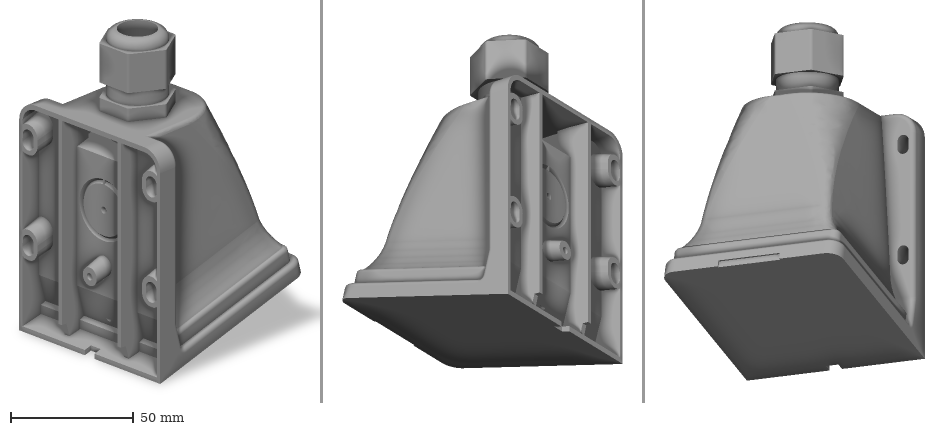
import cadquery as cq
import math

WIDTH = 80.0
DEPTH = 87.0
HEIGHT = 138.0
BODY_TOP = 103.1
TILT = 15.0

PLATE_BACK = 10.4
PLATE_BEND_Z = 23.2
PLATE_CORNER = 9.0
BASE_THICK = 7.2
BASE_CORNER = 6.2
EDGE_ROUND = 2.0
INNER_ROUND = 1.7
BEND_ROUND = 5.5
FRONT_NOTCH_WIDTH = 27.6
FRONT_NOTCH_DEPTH = 0.8
FRONT_NOTCH_HEIGHT = 2.8

HOOD_ROOT_Y = 5.5
COLLAR_HALF = 37.3
COLLAR_FRONT = 86.4
COLLAR_TOP = 14.2
COLLAR_ROUND = 1.8
FLARE_MID_LEVEL = 19.3
FLARE_MID_HALF = 32.0
FLARE_MID_FRONT = 83.5
FLARE_TOP_LEVEL = 28.4
FLARE_TOP_HALF = 29.3
FLARE_TOP_FRONT = 81.7
HOOD_CORNER = 3.2
MID_Z = 73.1
MID_HALF = 27.0
MID_FRONT = 64.9
MID_CORNER = 8.5
TOP_HALF = 25.1
TOP_FLAT_HALF = 3.7
TOP_SIDE_END = 31.0
TOP_FRONT = 55.9

GLAND_Y = 28.3
HEX_FLATS = 28.4
HEX_ROUND = 1.5
LOCKNUT_TOP = 109.0
NECK_TOP = 115.9
CAP_NUT_TOP = 133.3
NECK_DIA = 26.0
GLAND_BORE = 17.0
DOME_ROUND = 4.1

RIM = 2.0
TOP_RIM = 2.2
RECESS_DRAFT = 5.5
SIDE_FLOOR = 8.8
CENTRE_FLOOR = 8.3
FLOOR_BEND_Z = 22.8
RECESS_BOTTOM_Z = 2.3
STEP_DEPTH = 10.0
STEP_TOP_Z = 9.1
STEP_BACK_Z = 10.2

RIB_X = 16.8
RIB_TIP = 2.0
RIB_ROOT = 3.7
RIB_FOOT_Z = 9.5
RIB_FOOT_SETBACK = 2.5

CHAMBER_Z = 87.1
CHAMBER_RADIUS = 20.0
CHAMBER_WALL_Y = 17.5

BOSS_X = 34.9
BOSS_Z = (39.5, 86.5)
BOSS_WIDTH = 10.4
SLOT_WIDTH = 6.3
SLOT_TRAVEL = 2.8
MOULD_DRAFT = 3.0
TILT_LEAD = 1.7
POST_Z = 35.9
POST_DIA = 7.7
POST_HOLE = 3.0
POST_HOLE_DEPTH = 6.9
KNOCKOUT_Z = 63.0
KNOCKOUT_OUTER = 27.5
KNOCKOUT_INNER = 22.9
KNOCKOUT_DEPTH = 1.2
KNOCKOUT_BRIDGE = 0.8
DIMPLE_DIA = 3.0
DIMPLE_DEPTH = 1.2
LOWER_DIMPLE_Z = 13.4
DRAIN_WIDTH = 5.5
DRAIN_DEPTH = 3.6

HALF = WIDTH / 2
SIN = math.sin(math.radians(TILT))
COS = math.cos(math.radians(TILT))
SLOPE = SIN / COS
BASE_LENGTH = DEPTH / COS


def tilted_plane(level):
    """Plane parallel to the underside, a distance above it."""
    return cq.Workplane(cq.Plane(
        origin=(0, -level * SIN, level * COS), xDir=(1, 0, 0), normal=(0, -SIN, COS)))


def tilted_axis(x, z):
    """Workplane at (x, 0, z) whose normal points inward along the underside slope."""
    return cq.Workplane(cq.Plane(origin=(x, 0, z), xDir=(1, 0, 0), normal=(0, COS, SIN)))


def yz_point(along, level):
    """Y and Z of a point given along and above the tilted underside."""
    return (along * COS - level * SIN, along * SIN + level * COS)


def root_at(level):
    """Distance along the slope at which the hood starts inside the plate."""
    return (HOOD_ROOT_Y + level * SIN) / COS


def box(x0, x1, y0, y1, z0, z1):
    return cq.Workplane("XY").box(x1 - x0, y1 - y0, z1 - z0, centered=False).translate((x0, y0, z0))


def prism(points, x0, x1):
    """Closed Y-Z outline extruded from x0 to x1."""
    return cq.Workplane("YZ", origin=(x0, 0, 0)).polyline(points).close().extrude(x1 - x0)


def make_plates():
    inner_along = PLATE_BACK * COS + PLATE_BEND_Z * SIN
    outline = [
        (0, 0),
        yz_point(BASE_LENGTH, 0),
        yz_point(BASE_LENGTH, BASE_THICK),
        yz_point(inner_along, BASE_THICK),
        (PLATE_BACK, PLATE_BEND_Z),
        (PLATE_BACK, BODY_TOP),
        (0, BODY_TOP),
    ]
    plates = prism(outline, -HALF, HALF)
    inner_y, inner_z = yz_point(inner_along, BASE_THICK)
    plates = plates.edges(cq.NearestToPointSelector((0, inner_y, inner_z))).fillet(INNER_ROUND)
    bend = cq.NearestToPointSelector((0, PLATE_BACK, PLATE_BEND_Z))
    plates = plates.edges(bend).fillet(BEND_ROUND)
    plates = plates.edges("|Y").edges(">Z").fillet(PLATE_CORNER)
    front_y, front_z = yz_point(BASE_LENGTH, BASE_THICK / 2)
    for x in (-HALF, HALF):
        plates = plates.edges(cq.NearestToPointSelector((x, front_y, front_z))).fillet(BASE_CORNER)
    seed_y, seed_z = yz_point(BASE_LENGTH, BASE_THICK)
    plates = plates.edges(cq.NearestToPointSelector((0, seed_y, seed_z))).fillet(EDGE_ROUND)
    notch = (
        tilted_plane(0).center(0, BASE_LENGTH)
        .rect(FRONT_NOTCH_WIDTH, 2 * FRONT_NOTCH_DEPTH).extrude(FRONT_NOTCH_HEIGHT)
    )
    return plates.cut(notch)


def hood_section(level, half, front):
    """Hood outline parallel to the underside, with rounded front corners."""
    return hood_outline(tilted_plane(level), half, root_at(level), front, HOOD_CORNER, HOOD_CORNER)


def hood_outline(plane, half, root, front, round_x, round_y):
    return (
        plane.moveTo(-half, root)
        .lineTo(-half, front - round_y)
        .ellipseArc(round_x, round_y, 90, 180, sense=-1)
        .lineTo(half - round_x, front)
        .ellipseArc(round_x, round_y, 0, 90, sense=-1)
        .lineTo(half, root)
        .close()
    )


def loft(sections, ruled):
    wires = [section.val() for section in sections]
    return cq.Workplane(cq.Solid.makeLoft(wires, ruled))


def make_hood():
    collar = hood_section(0, COLLAR_HALF, COLLAR_FRONT).extrude(COLLAR_TOP)
    collar_front = yz_point(COLLAR_FRONT, COLLAR_TOP)
    collar = collar.edges(cq.NearestToPointSelector((0, *collar_front))).fillet(COLLAR_ROUND)

    flare_bottom = hood_section(
        COLLAR_TOP, COLLAR_HALF - COLLAR_ROUND, COLLAR_FRONT - COLLAR_ROUND / 2)
    flare_middle = hood_section(FLARE_MID_LEVEL, FLARE_MID_HALF, FLARE_MID_FRONT)
    flare_top = hood_section(FLARE_TOP_LEVEL, FLARE_TOP_HALF, FLARE_TOP_FRONT)
    middle = hood_outline(
        cq.Workplane("XY", origin=(0, 0, MID_Z)), MID_HALF, HOOD_ROOT_Y, MID_FRONT,
        MID_CORNER, MID_CORNER)
    top = hood_outline(
        cq.Workplane("XY", origin=(0, 0, BODY_TOP)), TOP_HALF, HOOD_ROOT_Y, TOP_FRONT,
        TOP_HALF - TOP_FLAT_HALF, TOP_FRONT - TOP_SIDE_END)
    flare = loft([flare_bottom, flare_middle, flare_top], False)
    body = loft([flare_top, middle, top], False)
    body = body.edges(cq.NearestToPointSelector((0, TOP_FRONT, BODY_TOP))).fillet(EDGE_ROUND)
    return collar.union(flare).union(body)


def hex_nut(bottom, top):
    corner_dia = HEX_FLATS / math.cos(math.pi / 6)
    nut = cq.Workplane("XY", origin=(0, GLAND_Y, bottom)).polygon(6, corner_dia).extrude(top - bottom)
    return nut.edges("|Z").fillet(HEX_ROUND)


def make_gland():
    barrel = (
        cq.Workplane("XY", origin=(0, GLAND_Y, BODY_TOP))
        .circle(NECK_DIA / 2).extrude(HEIGHT - BODY_TOP)
        .edges(">Z").fillet(DOME_ROUND)
    )
    nuts = hex_nut(BODY_TOP, LOCKNUT_TOP).union(hex_nut(NECK_TOP, CAP_NUT_TOP))
    return barrel.union(nuts)


def make_gland_bore():
    return (
        cq.Workplane("XY", origin=(0, GLAND_Y, BODY_TOP))
        .circle(GLAND_BORE / 2).extrude(HEIGHT - BODY_TOP)
    )


def lean_y(z):
    """Y of the leaning lower floor at height z."""
    return SIDE_FLOOR + (FLOOR_BEND_Z - z) * SLOPE


def recess_prism(floor, x0, x1):
    bend_z = FLOOR_BEND_Z + (SIDE_FLOOR - floor) / SLOPE
    step_foot_z = RECESS_BOTTOM_Z + STEP_DEPTH * SLOPE
    outline = [
        (0, RECESS_BOTTOM_Z),
        (STEP_DEPTH, step_foot_z),
        (STEP_DEPTH, STEP_TOP_Z),
        (lean_y(STEP_BACK_Z), STEP_BACK_Z),
        (floor, bend_z),
        (floor, BODY_TOP - TOP_RIM),
        (0, BODY_TOP - TOP_RIM),
    ]
    return prism(outline, x0, x1)


def make_drafted_plug():
    """Rounded opening of the rim, narrowing inward, used to bound the recess."""
    depth = 2 * STEP_DEPTH
    half = HALF - RIM
    top = BODY_TOP - TOP_RIM
    inner_half = half - depth * math.tan(math.radians(RECESS_DRAFT))
    plug = (
        cq.Workplane("XY")
        .polyline([(-half, 0), (half, 0), (inner_half, depth), (-inner_half, depth)])
        .close().extrude(top)
    )
    rounded = (
        cq.Workplane("XZ").rect(2 * half, 2 * top).extrude(-depth)
        .edges("|Y").fillet(PLATE_CORNER - RIM)
    )
    return plug.intersect(rounded)


def make_chamber():
    """Tilted-floor pocket above the centre floor, ended by the convex gland wall."""
    top = BODY_TOP - TOP_RIM
    deep = CHAMBER_WALL_Y + CHAMBER_RADIUS
    start_z = CHAMBER_Z - CENTRE_FLOOR * SLOPE
    outline = [(0, start_z), (deep, start_z + deep * SLOPE), (deep, top), (0, top)]
    pocket = prism(outline, -RIB_X, RIB_X)
    gland_wall = cq.Workplane("XY", origin=(0, deep, 0)).circle(CHAMBER_RADIUS).extrude(BODY_TOP)
    return pocket.cut(gland_wall)


def make_rib(x):
    root = lean_y(0)
    rib = (
        cq.Workplane("XY")
        .polyline([
            (x - RIB_TIP / 2, 0), (x + RIB_TIP / 2, 0),
            (x + RIB_ROOT / 2, SIDE_FLOOR), (x + RIB_ROOT / 2, root),
            (x - RIB_ROOT / 2, root), (x - RIB_ROOT / 2, SIDE_FLOOR)])
        .close().extrude(BODY_TOP - TOP_RIM)
    )
    foot = [
        (0, RIB_FOOT_Z),
        (RIB_FOOT_SETBACK, RIB_FOOT_Z),
        (RIB_FOOT_SETBACK + RIB_FOOT_Z * SLOPE, 0),
        (0, 0),
    ]
    return rib.cut(prism(foot, x - RIB_ROOT, x + RIB_ROOT))


def tilted_slot(x, z, width, draft):
    """Drafted upright slot running inward along the slope, passing through the plate."""
    slot = tilted_axis(x, z).workplane(offset=-TILT_LEAD).slot2D(width + SLOT_TRAVEL, width, 90)
    return slot.extrude(2 * PLATE_BACK, taper=draft)


def make_post():
    base = tilted_axis(0, POST_Z).workplane(offset=-TILT_LEAD)
    return base.circle(POST_DIA / 2).extrude(2 * PLATE_BACK, taper=-MOULD_DRAFT)


def make_recess():
    recess = recess_prism(SIDE_FLOOR, -HALF, -RIB_X)
    recess = recess.union(recess_prism(SIDE_FLOOR, RIB_X, HALF))
    recess = recess.union(recess_prism(CENTRE_FLOOR, -RIB_X, RIB_X))
    recess = recess.intersect(make_drafted_plug()).union(make_chamber())
    for x in (-RIB_X, RIB_X):
        recess = recess.cut(make_rib(x))
    for x in (-BOSS_X, BOSS_X):
        for z in BOSS_Z:
            recess = recess.cut(tilted_slot(x, z, BOSS_WIDTH, -MOULD_DRAFT))
    return recess.cut(make_post())


def make_knockout():
    """V-groove ring around the knock-out disc, left uncut at one narrow bridge."""
    outer = KNOCKOUT_OUTER / 2
    inner = KNOCKOUT_INNER / 2
    ring = (
        cq.Workplane("XY", origin=(0, CENTRE_FLOOR, KNOCKOUT_Z))
        .polyline([(inner, 0), (outer, 0), ((inner + outer) / 2, KNOCKOUT_DEPTH)])
        .close().revolve(360, (0, 0), (0, 1))
    )
    half = KNOCKOUT_BRIDGE / 2
    bridge = box(-half, half, 0, PLATE_BACK, KNOCKOUT_Z, KNOCKOUT_Z + KNOCKOUT_OUTER)
    return ring.cut(bridge)


def dimple(y, z):
    """Conical drill mark in the recess floor."""
    return cq.Workplane(cq.Solid.makeCone(
        DIMPLE_DIA / 2, 0, DIMPLE_DEPTH, pnt=cq.Vector(0, y, z), dir=cq.Vector(0, 1, 0)))


result = make_plates().union(make_hood()).union(make_gland())
result = result.cut(make_gland_bore()).cut(make_recess()).cut(make_knockout())
for boss_x in (-BOSS_X, BOSS_X):
    for boss_z in BOSS_Z:
        result = result.cut(tilted_slot(boss_x, boss_z, SLOT_WIDTH, MOULD_DRAFT))
result = result.cut(tilted_axis(0, POST_Z).circle(POST_HOLE / 2).extrude(POST_HOLE_DEPTH, both=True))
result = result.cut(dimple(CENTRE_FLOOR, KNOCKOUT_Z))
result = result.cut(dimple(lean_y(LOWER_DIMPLE_Z), LOWER_DIMPLE_Z))
result = result.cut(box(-DRAIN_WIDTH / 2, DRAIN_WIDTH / 2, 0, DRAIN_DEPTH, 0, STEP_TOP_Z))